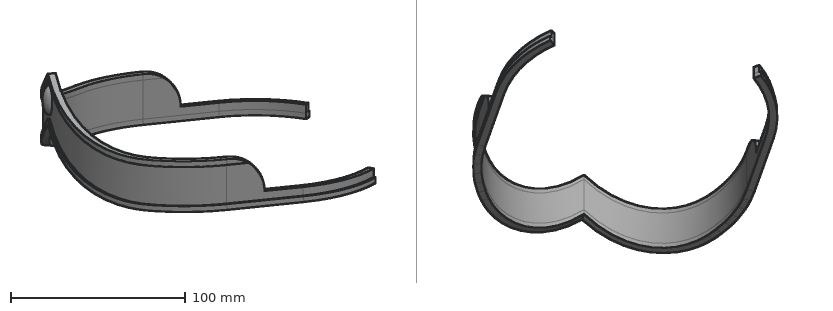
import cadquery as cq
import math


OUTER_RADIUS = 81.95
WALL = 4.75
RIM_STEP = 1.15
SIDE_LENGTH = 46.0
ARM_RADIUS = 72.4
ARM_ANGLE = math.radians(43.3)

BAND_HEIGHT = 30.8
RIM_HEIGHT = 3.55
PEAK_RISE = 33.73
SWEEP_LENGTH = 82.0
SWEEP_RADIUS = (SWEEP_LENGTH**2 + PEAK_RISE**2) / (2 * PEAK_RISE)
SWEEP_STEPS = 16

RAIL_HEIGHT = 8.75
LOBE_CENTRE_Y = 0.9
LOBE_RADIUS = BAND_HEIGHT - RAIL_HEIGHT

GEM_RADIUS = 4.3
GEM_HALF_HEIGHT = 9.0
GEM_CENTRE_Z = 48.5

BAND_OUTER_RADIUS = OUTER_RADIUS - RIM_STEP
TOTAL_HEIGHT = BAND_HEIGHT + PEAK_RISE

STRIP_INNER_RADIUS = OUTER_RADIUS - 2 * WALL
STRIP_OUTER_RADIUS = OUTER_RADIUS + WALL
CUT_REACH = 2 * OUTER_RADIUS


def plan_point(side, inset, angle):
    """Point on a rear arm, measured inwards from the rim's outer face."""
    radius = ARM_RADIUS - inset
    centre_x = OUTER_RADIUS - ARM_RADIUS
    return (side * (centre_x + radius * math.cos(angle)), SIDE_LENGTH + radius * math.sin(angle))


def plan_wall(inset):
    """Upright wall following the plan, from the given inset to the inner face."""
    outer = OUTER_RADIUS - inset
    inner = OUTER_RADIUS - WALL
    half_angle = ARM_ANGLE / 2
    return (
        cq.Workplane("XY")
        .moveTo(*plan_point(-1, inset, ARM_ANGLE))
        .threePointArc(plan_point(-1, inset, half_angle), (-outer, SIDE_LENGTH))
        .lineTo(-outer, 0)
        .threePointArc((0, -outer), (outer, 0))
        .lineTo(outer, SIDE_LENGTH)
        .threePointArc(plan_point(1, inset, half_angle), plan_point(1, inset, ARM_ANGLE))
        .lineTo(*plan_point(1, WALL, ARM_ANGLE))
        .threePointArc(plan_point(1, WALL, half_angle), (inner, SIDE_LENGTH))
        .lineTo(inner, 0)
        .threePointArc((0, -inner), (-inner, 0))
        .lineTo(-inner, SIDE_LENGTH)
        .threePointArc(plan_point(-1, WALL, half_angle), plan_point(-1, WALL, ARM_ANGLE))
        .close()
        .extrude(TOTAL_HEIGHT)
    )


def sweep_rise(angle):
    """Rise above the flat at an angle around the front bend, measured from its centre line."""
    run = SWEEP_LENGTH - OUTER_RADIUS * angle
    if run <= 0:
        return 0
    return SWEEP_RADIUS - math.sqrt(SWEEP_RADIUS**2 - run**2)


def swept_half(side, bottom, height):
    """Half of the front strip, lofted through upright radial sections around the bend."""
    sections = []
    for step in range(SWEEP_STEPS + 1):
        angle = step / SWEEP_STEPS * math.pi / 2
        across = side * math.sin(angle)
        along = -math.cos(angle)
        low = bottom + sweep_rise(angle)
        corners = [
            cq.Vector(radius * across, radius * along, level)
            for radius, level in (
                (STRIP_INNER_RADIUS, low),
                (STRIP_OUTER_RADIUS, low),
                (STRIP_OUTER_RADIUS, low + height),
                (STRIP_INNER_RADIUS, low + height),
            )
        ]
        sections.append(cq.Wire.makePolygon(corners, close=True))
    return cq.Workplane(cq.Solid.makeLoft(sections))


def edge_strip(wall, bottom, height):
    """Part of the wall within a strip that is flat at the sides and sweeps up to the front point."""
    flat = (
        cq.Workplane("XY", origin=(0, 0, bottom))
        .rect(2 * CUT_REACH, CUT_REACH)
        .extrude(height)
        .translate((0, CUT_REACH / 2, 0))
    )
    strip = wall.intersect(flat)
    for side in (-1, 1):
        strip = strip.union(wall.intersect(swept_half(side, bottom, height)), clean=False)
    return strip


def rear_relief():
    """Everything above the rear rail and behind the quarter-round end of the tall band."""
    diagonal = LOBE_RADIUS * math.sqrt(0.5)
    return (
        cq.Workplane("YZ")
        .moveTo(LOBE_CENTRE_Y + LOBE_RADIUS, RAIL_HEIGHT)
        .threePointArc(
            (LOBE_CENTRE_Y + diagonal, RAIL_HEIGHT + diagonal),
            (LOBE_CENTRE_Y, BAND_HEIGHT),
        )
        .lineTo(LOBE_CENTRE_Y, TOTAL_HEIGHT)
        .lineTo(CUT_REACH, TOTAL_HEIGHT)
        .lineTo(CUT_REACH, RAIL_HEIGHT)
        .close()
        .extrude(CUT_REACH, both=True)
    )


def make_band():
    """Headband with a raised rim along its lower and upper edges."""
    rim_wall = plan_wall(0)
    upper_rim_bottom = BAND_HEIGHT - RIM_HEIGHT
    web = edge_strip(plan_wall(RIM_STEP), RIM_HEIGHT, upper_rim_bottom - RIM_HEIGHT)
    lower_rim = edge_strip(rim_wall, 0, RIM_HEIGHT)
    upper_rim = edge_strip(rim_wall, upper_rim_bottom, RIM_HEIGHT)
    band = web.union(lower_rim, clean=False).union(upper_rim, clean=False)
    return band.cut(rear_relief(), clean=False).solids()


def make_gem():
    """Front half of an upright ellipsoid, its back shaped to the band's outer face."""
    ellipsoid = (
        cq.Workplane("YZ")
        .moveTo(0, -GEM_HALF_HEIGHT)
        .ellipseArc(GEM_RADIUS, GEM_HALF_HEIGHT, -90, 90, startAtCurrent=True)
        .close()
        .revolve(360, (0, 0), (0, 1))
        .translate((0, -BAND_OUTER_RADIUS, GEM_CENTRE_Z))
    )
    band_face = cq.Workplane("XY").circle(BAND_OUTER_RADIUS).extrude(TOTAL_HEIGHT)
    return ellipsoid.cut(band_face).solids()


band = make_band()
gem = make_gem()

result = cq.Compound.makeCompound([band.val(), gem.val()])